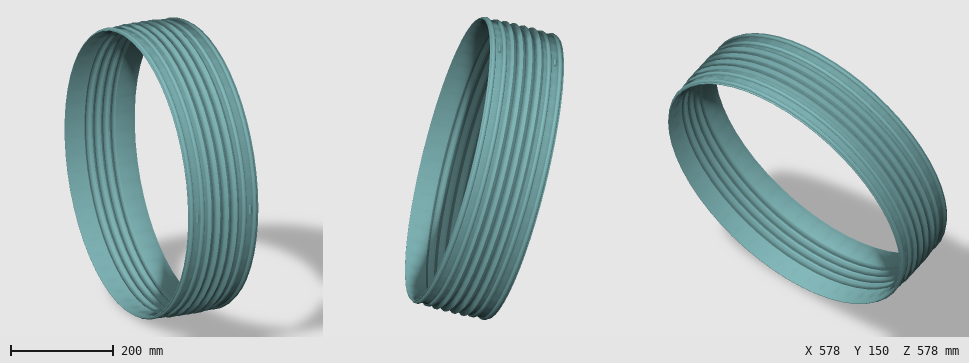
import cadquery as cq
import math

length = 150.0
crest_radius = 289.0
bore_radius = 564.0 / 2
valley_bore_radius = 560.0 / 2
wall = 1.45
sleeve_radius = bore_radius + wall

fold_count = 4
fold_pitch = 18.5
fold_half_width = 8.0
flank_slope = fold_half_width / (crest_radius - valley_bore_radius - wall)

rib_positions = (45.0, 67.5)
rib_half_width = 4.5
rib_crest_radius = 287.0

pin_diameter = 5.3
pin_length = 17.5
pin_position = sum(rib_positions) / len(rib_positions)


def fold_outline(tip_radius, valley_radius, end_radius):
    """Corners along one row of folds, whose outer flanks stop at the end sections."""
    points = []
    for index in range(fold_count):
        center = (index - (fold_count - 1) / 2) * fold_pitch
        start_radius = end_radius if index == 0 else valley_radius
        stop_radius = end_radius if index == fold_count - 1 else valley_radius
        points.append((start_radius, center - flank_slope * (tip_radius - start_radius)))
        points.append((tip_radius, center))
        points.append((stop_radius, center + flank_slope * (tip_radius - stop_radius)))
    return points


def revolve_profile(profile):
    return profile.close().revolve(360, (0, 0, 0), (0, 1, 0))


def make_sleeve():
    inner_tip_radius = crest_radius - wall * math.hypot(1, flank_slope) / flank_slope
    outside = fold_outline(crest_radius, valley_bore_radius + wall, sleeve_radius)
    inside = fold_outline(inner_tip_radius, valley_bore_radius, bore_radius)
    end = length / 2
    points = [(bore_radius, -end), (sleeve_radius, -end)]
    points += outside
    points += [(sleeve_radius, end), (bore_radius, end)]
    points += reversed(inside)
    return revolve_profile(cq.Workplane("XY").polyline(points))


def make_rib(center):
    foot_radius = (sleeve_radius + bore_radius) / 2
    start = center - rib_half_width
    end = center + rib_half_width
    return revolve_profile(
        cq.Workplane("XY")
        .moveTo(foot_radius, start)
        .lineTo(sleeve_radius, start)
        .threePointArc((rib_crest_radius, center), (sleeve_radius, end))
        .lineTo(foot_radius, end)
    )


def make_pin(y_position):
    x_position = bore_radius + pin_diameter / 2
    return (
        cq.Workplane("XY", origin=(x_position, y_position, -pin_length / 2))
        .circle(pin_diameter / 2)
        .extrude(pin_length)
    )


result = make_sleeve()
for side in (-1, 1):
    for position in rib_positions:
        result = result.union(make_rib(side * position))
    result = result.union(make_pin(side * pin_position))